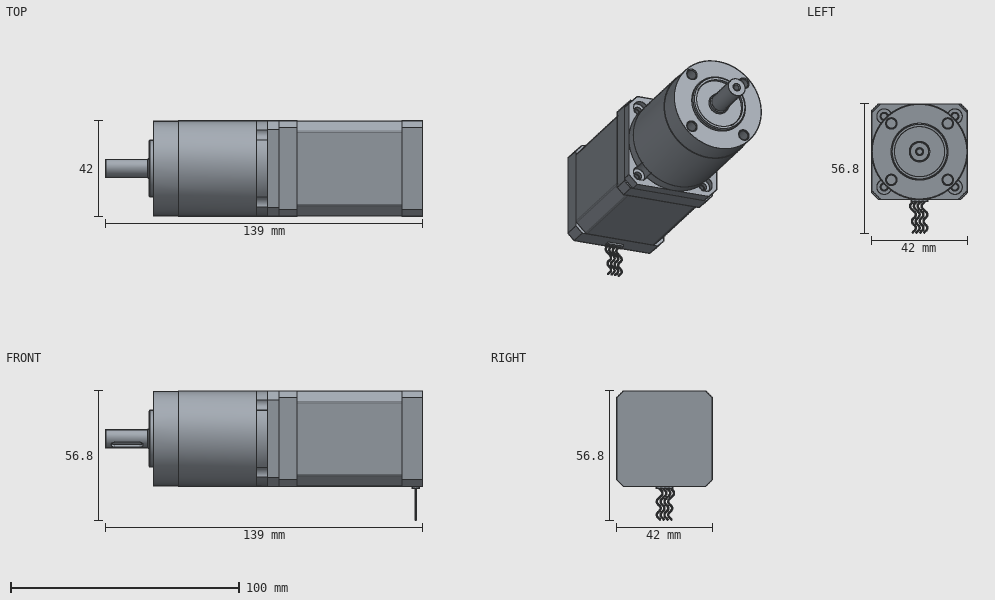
import cadquery as cq
import math


BOSS_FRONT = 19.0
FLANGE_FRONT = 21.0
RING_FRONT = 32.0
ADAPTER_FRONT = 66.2
PLATE_FRONT = 71.0
MOTOR_FRONT = 76.0
STATOR_FRONT = 84.0
STATOR_REAR = 130.0
MOTOR_REAR = 139.0

SHAFT_DIA = 8.0
COLLAR_DIA = 9.0
COLLAR_CHAMFER = (COLLAR_DIA - SHAFT_DIA) / 2
CENTRE_HOLE_DIA = 2.5
CENTRE_HOLE_MOUTH_DIA = 3.5
CENTRE_HOLE_DEPTH = 8.0
KEYWAY_START = 2.5
KEYWAY_LENGTH = 14.0
KEYWAY_WIDTH = 3.0
KEYWAY_DEPTH = 1.8
KEYWAY_ANGLE = 225.0

FLANGE_DIA = 41.5
BOSS_DIA = 25.0
BOSS_CHAMFER = 0.5
RECESS_DIA = 22.0
RECESS_DEPTH = 1.5
FLANGE_HOLE_CIRCLE = 35.0
FLANGE_HOLE_DIA = 4.2
FLANGE_HOLE_MOUTH_DIA = 5.0
FLANGE_HOLE_DEPTH = 8.0
FLANGE_HOLE_ANGLES = [45, 135, 225, 315]

RING_DIA = 42.0
SCREW_PITCH = 31.0
SCREW_HEAD_DIA = 6.5
SCREW_SEAT = PLATE_FRONT + 3.0
ADAPTER_HOLE_DIA = 3.5
ADAPTER_CHAMFER = 4.0

MOTOR_WIDTH = 42.0
CAP_CHAMFER = 3.0
CAP_HOLE_DIA = 2.7
CAP_HOLE_DEPTH = 4.5
STATOR_WIDTH = 41.8
STATOR_CHAMFER = 4.8
STATOR_FILLET = 1.0

BLOCK_X = 136.0
BLOCK_LENGTH = 3.2
BLOCK_WIDTH = 7.4
BLOCK_HEIGHT = 0.8
BLOCK_TOP = -MOTOR_WIDTH / 2
WIRE_COUNT = 4
WIRE_DIA = 0.6
WIRE_PITCH = 1.68
WIRE_FIRST_Y = 2.7
WIRE_END_Z = -35.79
WIRE_BEND_RADIUS = 1.5
WIRE_SLOPE = 45.0
WIRE_RISE = math.tan(math.radians(WIRE_SLOPE))
WIRE_CORNERS = [2.07, -1.67, 1.25, -1.67]


def revolve_about_axis(outline):
    return cq.Workplane("XY").polyline(outline).close().revolve(360, (0, 0, 0), (1, 0, 0))


def cylinder(front, rear, dia):
    return cq.Workplane("YZ", origin=(front, 0, 0)).circle(dia / 2).extrude(rear - front)


def square_block(front, rear, width, chamfer):
    block = cq.Workplane("YZ", origin=(front, 0, 0)).rect(width, width).extrude(rear - front)
    return block.edges("|X").chamfer(chamfer)


def square_holes(front, depth, pitch, dia):
    plane = cq.Workplane("YZ", origin=(front, 0, 0)).rect(pitch, pitch, forConstruction=True)
    return plane.vertices().circle(dia / 2).extrude(depth)


def countersunk_hole(front, depth, dia, mouth_dia):
    flare = (mouth_dia - dia) / 2
    profile = [
        (front, 0),
        (front, mouth_dia / 2),
        (front + flare, dia / 2),
        (front + depth, dia / 2),
        (front + depth, 0),
    ]
    return revolve_about_axis(profile)


def make_shaft():
    outline = [
        (0, 0),
        (0, SHAFT_DIA / 2),
        (BOSS_FRONT - COLLAR_CHAMFER, SHAFT_DIA / 2),
        (BOSS_FRONT, COLLAR_DIA / 2),
        (BOSS_FRONT + RECESS_DEPTH, COLLAR_DIA / 2),
        (BOSS_FRONT + RECESS_DEPTH, 0),
    ]
    shaft = revolve_about_axis(outline)
    shaft = shaft.cut(countersunk_hole(0, CENTRE_HOLE_DEPTH, CENTRE_HOLE_DIA, CENTRE_HOLE_MOUTH_DIA))
    keyway = (
        cq.Workplane("XZ", origin=(KEYWAY_START + KEYWAY_LENGTH / 2, SHAFT_DIA / 2 - KEYWAY_DEPTH, 0))
        .slot2D(KEYWAY_LENGTH, KEYWAY_WIDTH)
        .extrude(-SHAFT_DIA)
    )
    return shaft.cut(keyway.rotate((0, 0, 0), (1, 0, 0), KEYWAY_ANGLE))


def make_flange():
    flange = cylinder(FLANGE_FRONT, RING_FRONT, FLANGE_DIA)
    boss = cylinder(BOSS_FRONT, FLANGE_FRONT, BOSS_DIA).faces("<X").chamfer(BOSS_CHAMFER)
    flange = flange.union(boss)
    flange = flange.cut(cylinder(BOSS_FRONT, BOSS_FRONT + RECESS_DEPTH, RECESS_DIA))
    hole = countersunk_hole(FLANGE_FRONT, FLANGE_HOLE_DEPTH, FLANGE_HOLE_DIA, FLANGE_HOLE_MOUTH_DIA)
    hole = hole.translate((0, FLANGE_HOLE_CIRCLE / 2, 0))
    for angle in FLANGE_HOLE_ANGLES:
        flange = flange.cut(hole.rotate((0, 0, 0), (1, 0, 0), angle))
    return flange


def make_ring():
    return cylinder(RING_FRONT, ADAPTER_FRONT, RING_DIA)


def make_adapter():
    neck = cylinder(ADAPTER_FRONT, PLATE_FRONT, RING_DIA)
    plate = square_block(PLATE_FRONT, MOTOR_FRONT, MOTOR_WIDTH, ADAPTER_CHAMFER)
    plate = plate.cut(square_holes(PLATE_FRONT, MOTOR_FRONT - PLATE_FRONT, SCREW_PITCH, ADAPTER_HOLE_DIA))
    adapter = neck.union(plate)
    return adapter.cut(square_holes(ADAPTER_FRONT, SCREW_SEAT - ADAPTER_FRONT, SCREW_PITCH, SCREW_HEAD_DIA))


def make_front_cap():
    cap = square_block(MOTOR_FRONT, STATOR_FRONT, MOTOR_WIDTH, CAP_CHAMFER)
    return cap.cut(square_holes(MOTOR_FRONT, CAP_HOLE_DEPTH, SCREW_PITCH, CAP_HOLE_DIA))


def make_stator():
    stator = square_block(STATOR_FRONT, STATOR_REAR, STATOR_WIDTH, STATOR_CHAMFER)
    return stator.edges("|X").fillet(STATOR_FILLET)


def make_rear_cap():
    return square_block(STATOR_REAR, MOTOR_REAR, MOTOR_WIDTH, CAP_CHAMFER)


def make_lead_block():
    block = cq.Workplane("XY", origin=(BLOCK_X, 0, BLOCK_TOP)).rect(BLOCK_LENGTH, BLOCK_WIDTH)
    return block.extrude(-BLOCK_HEIGHT)


def make_wire(y):
    height = BLOCK_TOP - BLOCK_HEIGHT / 2
    offset = -BLOCK_HEIGHT / 2 / WIRE_RISE
    points = [cq.Vector(BLOCK_X, y + offset, height)]
    for corner in WIRE_CORNERS:
        height -= abs(corner - offset) * WIRE_RISE
        offset = corner
        points.append(cq.Vector(BLOCK_X, y + offset, height))
    end_height = WIRE_END_Z + WIRE_DIA / 2 * math.cos(math.radians(WIRE_SLOPE))
    offset += (height - end_height) / WIRE_RISE
    points.append(cq.Vector(BLOCK_X, y + offset, end_height))
    path = cq.Wire.makePolygon(points).fillet(WIRE_BEND_RADIUS)
    start = cq.Plane(origin=points[0], xDir=(1, 0, 0), normal=points[1] - points[0])
    return cq.Workplane(start).circle(WIRE_DIA / 2).sweep(cq.Workplane(obj=path))


def make_lead_set():
    leads = make_lead_block()
    for i in range(WIRE_COUNT):
        leads = leads.union(make_wire(WIRE_FIRST_Y - i * WIRE_PITCH))
    return leads


shaft = make_shaft()
flange = make_flange()
ring = make_ring()
adapter = make_adapter()
front_cap = make_front_cap()
stator = make_stator()
rear_cap = make_rear_cap()
lead_set = make_lead_set()

bodies = [shaft, flange, ring, adapter, front_cap, stator, rear_cap, lead_set]
result = cq.Compound.makeCompound([body.val() for body in bodies])